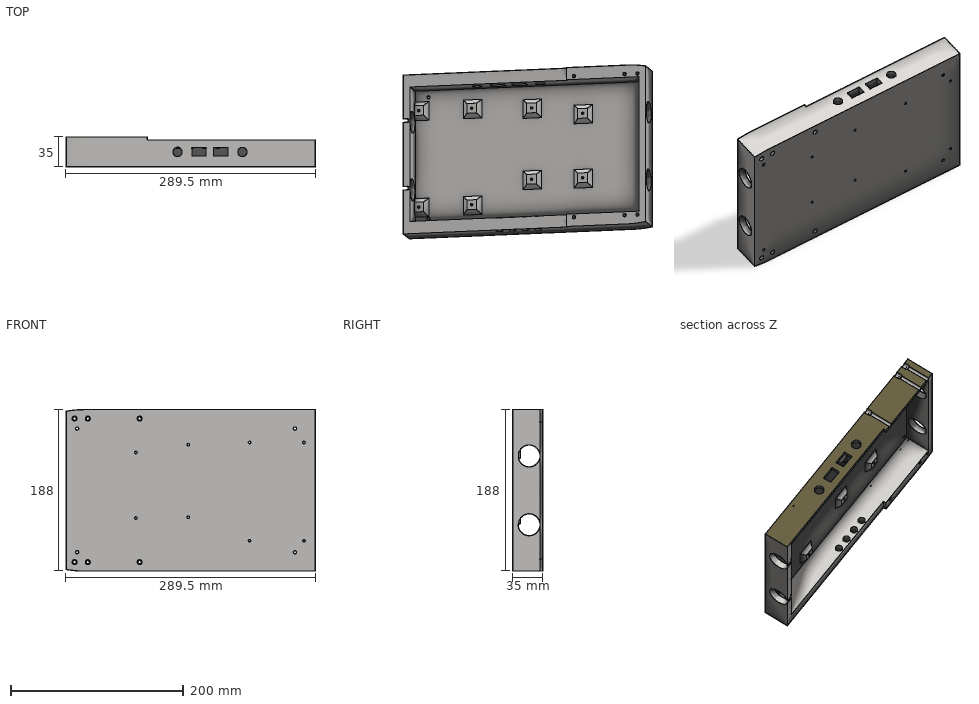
import cadquery as cq
import math

length = 289.5
depth = 35.0
height = 188.0
half_height = height / 2

floor_thickness = 4.0
end_wall = 8.0
side_wall = 14.5

rim_step_x = 94.5
rim_step_drop = 3.5

ease_length = 21.0
lead_in = 4.5
ease_radius = 110.0

cable_hole_diameter = 25.2
cable_hole_y = 19.0
cable_hole_z = 40.0

port_center_x = 167.0
port_y = 17.5
round_port_diameter = 10.7
round_port_offset = 37.5
slot_port_width = 16.8
slot_port_depth = 9.8
slot_port_offset = 12.7

vent_count = 4
vent_center_x = 153.1
vent_spacing = 15.3
vent_y = 25.5
vent_diameter = 8.0

counterbored_x = (9.8, 25.2, 85.5)
counterbored_z = 83.5
counterbored_diameter = 3.8
counterbore_diameter = 5.8
counterbore_depth = 7.2

mount_x = (12.7, 265.8)
mount_z = 71.8
mount_diameter = 3.5

board_screws = (
    (81.0, 44.0, -32.0),
    (141.9, 53.0, -31.3),
    (213.0, 55.5, -58.5),
    (276.2, 55.5, -58.5),
)
board_screw_diameter = 2.5
pad_width = 11.5
pad_top_y = 9.3
pad_skirt_angle = 45.0


def make_outline():
    """Outer profile, seen along Y, with both low-X corners eased."""
    angle = math.asin((ease_length - lead_in) / ease_radius)
    arc_end_z = half_height - ease_radius * (1 - math.cos(angle))
    corner_z = arc_end_z - lead_in * math.tan(angle)
    arc_middle_x = ease_length - ease_radius * math.sin(angle / 2)
    arc_middle_z = half_height - ease_radius * (1 - math.cos(angle / 2))
    return (
        cq.Workplane("XZ")
        .moveTo(0, corner_z)
        .lineTo(lead_in, arc_end_z)
        .threePointArc((arc_middle_x, arc_middle_z), (ease_length, half_height))
        .lineTo(length, half_height)
        .lineTo(length, -half_height)
        .lineTo(ease_length, -half_height)
        .threePointArc((arc_middle_x, -arc_middle_z), (lead_in, -arc_end_z))
        .lineTo(0, -corner_z)
        .close()
    )


def make_tray():
    """Solid block, hollowed from the rear and with its rim stepped down."""
    block = make_outline().extrude(-depth)
    cavity = cq.Workplane("XY").box(
        length - 2 * end_wall, depth, height - 2 * side_wall, centered=(False, False, True)
    ).translate((end_wall, floor_thickness, 0))
    rim_step = cq.Workplane("XY").box(
        length - rim_step_x, rim_step_drop, height, centered=(False, False, True)
    ).translate((rim_step_x, depth - rim_step_drop, 0))
    return block.cut(cavity).cut(rim_step)


def drill_from_front(points, diameter, drill_depth=depth):
    """Cylinders along Y from the front face at the given (X, Z) points."""
    return cq.Workplane("XZ").pushPoints(points).circle(diameter / 2).extrude(-drill_depth)


def make_pads(points):
    """Square raised pads with sloped skirts, tapering up from the floor."""
    pad_height = pad_top_y - floor_thickness
    base_width = pad_width + 2 * pad_height * math.tan(math.radians(pad_skirt_angle))
    return (
        cq.Workplane("XZ", origin=(0, floor_thickness, 0))
        .pushPoints(points)
        .rect(base_width, base_width)
        .extrude(-pad_height, taper=pad_skirt_angle)
    )


def make_cable_holes():
    """A pair of large holes that run the full length through both end walls."""
    return (
        cq.Workplane("YZ")
        .pushPoints([(cable_hole_y, cable_hole_z), (cable_hole_y, -cable_hole_z)])
        .circle(cable_hole_diameter / 2)
        .extrude(length)
    )


def make_ports():
    """Two rectangular ports flanked by two round ones, through the upper wall."""
    wall_plane = cq.Workplane("XY", origin=(port_center_x, port_y, half_height - side_wall))
    round_ports = (
        wall_plane.pushPoints([(-round_port_offset, 0), (round_port_offset, 0)])
        .circle(round_port_diameter / 2)
        .extrude(side_wall)
    )
    slot_ports = (
        wall_plane.pushPoints([(-slot_port_offset, 0), (slot_port_offset, 0)])
        .rect(slot_port_width, slot_port_depth)
        .extrude(side_wall)
    )
    return round_ports.union(slot_ports)


def make_vents():
    """A row of round vents through the lower wall."""
    return (
        cq.Workplane("XY", origin=(vent_center_x, vent_y, -half_height))
        .rarray(vent_spacing, 3, vent_count, 1)
        .circle(vent_diameter / 2)
        .extrude(side_wall)
    )


counterbored_points = [(x, side * counterbored_z) for x in counterbored_x for side in (1, -1)]
mount_points = [(x, side * mount_z) for x in mount_x for side in (1, -1)]
board_points = [(x, z) for x, upper_z, lower_z in board_screws for z in (upper_z, lower_z)]

result = (
    make_tray()
    .cut(make_cable_holes())
    .cut(make_ports())
    .cut(make_vents())
    .union(make_pads(board_points))
    .cut(drill_from_front(board_points, board_screw_diameter))
    .cut(drill_from_front(mount_points, mount_diameter))
    .cut(drill_from_front(counterbored_points, counterbored_diameter))
    .cut(drill_from_front(counterbored_points, counterbore_diameter, counterbore_depth))
)